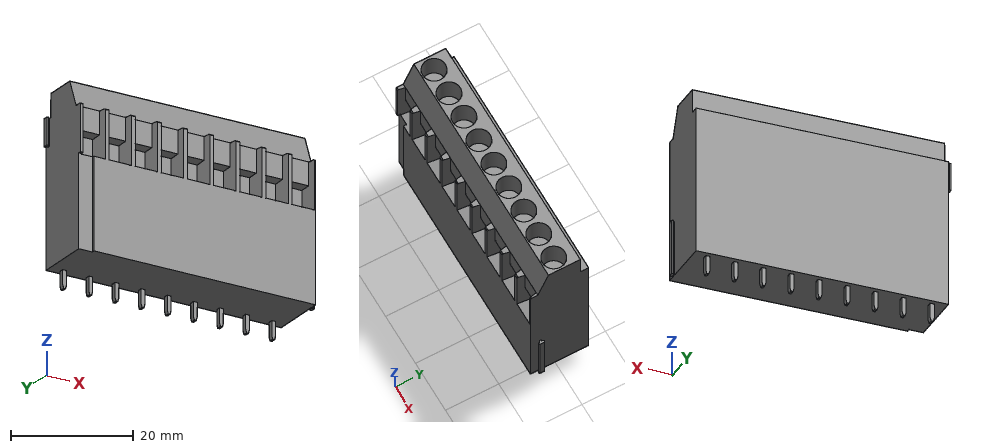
import cadquery as cq
import math

ways = 9
pitch = 5.0
overall_length = 46.3
housing_length = ways * pitch
housing_depth = 10.9
housing_height = 31.0
first_way_x = 2.55
way_centres = [first_way_x + way * pitch for way in range(ways)]

slope_top_y = 3.4
shelf_y = 1.4
shelf_z = 25.9
front_chamfer = 0.2
ledge_y = 9.45
ledge_z = 26.75
crown_back_y = 9.35

screw_hole_diameter = 4.2
screw_hole_y = 5.75
screw_hole_depth = 5.0

draft = math.tan(math.radians(11))
pocket_shift = 0.07
pocket_width = 4.25
pocket_floor_z = 16.9
pocket_depth = 3.0
upper_pocket_depth = 1.4
step_z = 21.65

relief_width = 2.6
relief_depth = 0.55
relief_height = 17.12

left_key_reach = 0.65
right_key_reach = overall_length - housing_length - left_key_reach
left_key_y = 10.0
left_key_length = pitch
left_head_width = 1.0
left_head_thickness = 0.32
left_stem_width = 0.5
right_key_y = 1.85
right_key_length = 2 * pitch
right_neck_width = 0.35
right_neck_length = 0.15
right_head_width = 1.15
right_end_width = 0.93
right_head_thickness = 0.25

pin_width = 0.75
pin_depth = 0.9
pin_y = 9.63
pin_length = 3.3
pin_tip_length = 0.65
pin_tip_width = 0.35


def make_body():
    profile = [
        (0, 0),
        (0, shelf_z - front_chamfer),
        (front_chamfer, shelf_z),
        (shelf_y, shelf_z),
        (slope_top_y, housing_height),
        (crown_back_y, housing_height),
        (ledge_y, ledge_z),
        (housing_depth, ledge_z),
        (housing_depth, 0),
    ]
    return cq.Workplane("YZ").polyline(profile).close().extrude(housing_length)


def make_screw_hole(x):
    return (
        cq.Workplane("XY", origin=(x, screw_hole_y, housing_height))
        .circle(screw_hole_diameter / 2)
        .extrude(-screw_hole_depth)
    )


def make_lower_pocket(x):
    """Drafted pocket whose ceiling passes through the step edge below the upper pocket."""
    front_height = step_z + upper_pocket_depth * draft - pocket_floor_z
    shrink = 2 * pocket_depth * draft
    return (
        cq.Workplane("XZ", origin=(x, 0, pocket_floor_z + front_height / 2))
        .rect(pocket_width, front_height)
        .workplane(offset=-pocket_depth)
        .rect(pocket_width - shrink, front_height - shrink)
        .loft()
    )


def make_upper_pocket(x):
    """Shallow pocket with the same side draft, open at the top."""
    front_half = pocket_width / 2
    back_half = front_half - upper_pocket_depth * draft
    outline = [
        (x - front_half, 0),
        (x + front_half, 0),
        (x + back_half, upper_pocket_depth),
        (x - back_half, upper_pocket_depth),
    ]
    return (
        cq.Workplane("XY", origin=(0, 0, step_z))
        .polyline(outline)
        .close()
        .extrude(housing_height - step_z)
    )


def make_relief():
    return cq.Workplane("XY").box(relief_width, relief_depth, relief_height, centered=False)


def make_left_key():
    """T-shaped key hanging down from the level of the back ledge."""
    stem_reach = left_key_reach - left_head_thickness
    base = cq.Workplane("XY", origin=(0, left_key_y, ledge_z))
    stem = base.center(-stem_reach / 2, 0).rect(stem_reach, left_stem_width).extrude(-left_key_length)
    head_x = -left_key_reach + left_head_thickness / 2
    head = base.center(head_x, 0).rect(left_head_thickness, left_head_width).extrude(-left_key_length)
    return stem.union(head)


def make_right_key():
    """Flared key with a short neck and bevelled outer corners, standing up from the bottom face level."""
    neck_half = right_neck_width / 2
    head_half = right_head_width / 2
    end_half = right_end_width / 2
    flare_reach = right_key_reach - right_head_thickness
    outline = [
        (0, -neck_half),
        (right_neck_length, -neck_half),
        (flare_reach, -head_half),
        (right_key_reach, -end_half),
        (right_key_reach, end_half),
        (flare_reach, head_half),
        (right_neck_length, neck_half),
        (0, neck_half),
    ]
    return (
        cq.Workplane("XY", origin=(housing_length, right_key_y, 0))
        .polyline(outline)
        .close()
        .extrude(right_key_length)
    )


def make_housing():
    housing = make_body().cut(make_relief())
    for x in way_centres:
        housing = housing.cut(make_screw_hole(x))
        housing = housing.cut(make_lower_pocket(x + pocket_shift))
        housing = housing.cut(make_upper_pocket(x + pocket_shift))
    return housing.union(make_left_key()).union(make_right_key())


def make_pin(x):
    """Flat pin standing on the bottom face, tapered in width at its tip."""
    shoulder_z = pin_tip_length - pin_length
    outline = [
        (-pin_width / 2, 0),
        (-pin_width / 2, shoulder_z),
        (-pin_tip_width / 2, -pin_length),
        (pin_tip_width / 2, -pin_length),
        (pin_width / 2, shoulder_z),
        (pin_width / 2, 0),
    ]
    return (
        cq.Workplane("XZ", origin=(x, pin_y, 0))
        .polyline(outline)
        .close()
        .extrude(pin_depth / 2, both=True)
    )


housing = make_housing()
pins = [make_pin(x) for x in way_centres]

result = cq.Compound.makeCompound([housing.val(), *[pin.val() for pin in pins]])